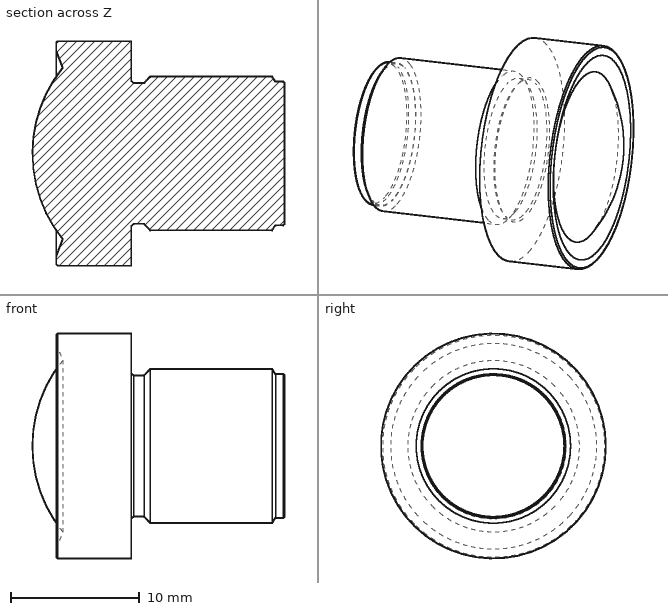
import cadquery as cq
import math

length = 19.62
head_front = 1.85
head_back = 7.71
barrel_start = 8.7
barrel_end = 18.91

head_radius = 8.75
recess_radius = 8.0
dome_rim_radius = 6.67
dome_front_radius = 5.98
neck_radius = 5.5
barrel_radius = 6.0
tip_radius = 5.61

head_chamfer = 0.12
neck_relief = 0.15
barrel_start_chamfer = 0.47
barrel_end_chamfer_length = 0.27
barrel_end_chamfer_height = 0.45
tip_chamfer = 0.12

dome_sphere_radius = (dome_front_radius**2 + head_front**2) / (2 * head_front)


def dome_x(radius):
    """X position of the dome surface at a given distance from the axis."""
    return dome_sphere_radius - math.sqrt(dome_sphere_radius**2 - radius**2)


dome_rim = (dome_x(dome_rim_radius), dome_rim_radius)
dome_middle = (dome_x(dome_rim_radius / 2), dome_rim_radius / 2)

profile = (
    cq.Workplane("XY")
    .moveTo(0, 0)
    .threePointArc(dome_middle, dome_rim)
    .lineTo(head_front, recess_radius)
    .lineTo(head_front, head_radius - head_chamfer)
    .lineTo(head_front + head_chamfer, head_radius)
    .lineTo(head_back, head_radius)
    .lineTo(head_back, neck_radius + neck_relief)
    .lineTo(head_back + neck_relief, neck_radius)
    .lineTo(barrel_start, neck_radius)
    .lineTo(barrel_start + barrel_start_chamfer, barrel_radius)
    .lineTo(barrel_end - barrel_end_chamfer_length, barrel_radius)
    .lineTo(barrel_end, barrel_radius - barrel_end_chamfer_height)
    .lineTo(barrel_end, tip_radius)
    .lineTo(length - tip_chamfer, tip_radius)
    .lineTo(length, tip_radius - tip_chamfer)
    .lineTo(length, 0)
    .close()
)

result = profile.revolve(360, (0, 0, 0), (1, 0, 0))